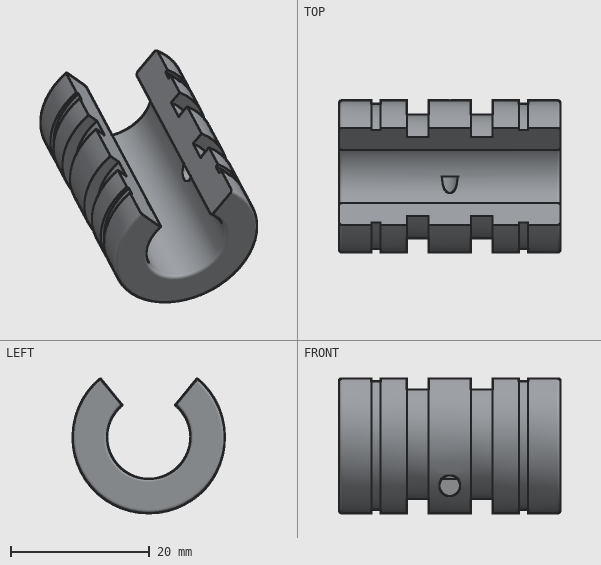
import cadquery as cq
import math

length = 32.0
outer_radius = 11.0
bore_radius = 6.0
edge_round = 0.5
opening_angle = 79.0

center_land_width = 6.1
wide_groove_width = 3.15
wide_groove_radius = 8.95
wide_groove_center = (center_land_width + wide_groove_width) / 2
narrow_groove_width = 1.35
narrow_groove_radius = 10.5
narrow_groove_center = 10.65

cut_clearance = 1.0

hole_diameter = 3.0
low_hole_z = -7.0
wall_hole_z = -1.12


def x_cylinder(radius, width, center_x):
    """Solid cylinder along X, centred at center_x."""
    return cq.Workplane("YZ", origin=(center_x - width / 2, 0, 0)).circle(radius).extrude(width)


def make_sleeve():
    """Round tube with rounded outer and bore edges at both ends."""
    tube = x_cylinder(outer_radius, length, 0).cut(x_cylinder(bore_radius, length, 0))
    return tube.faces("<X or >X").edges().fillet(edge_round)


def make_groove(width, floor_radius, center_x):
    """Ring to remove from the outside of the sleeve."""
    outside = x_cylinder(outer_radius + cut_clearance, width, center_x)
    return outside.cut(x_cylinder(floor_radius, width, center_x))


def make_opening():
    """Wedge with its tip on the axis that opens the sleeve towards +Z."""
    reach = outer_radius + cut_clearance
    half_width = reach * math.tan(math.radians(opening_angle / 2))
    profile = [(0, 0), (half_width, reach), (-half_width, reach)]
    return cq.Workplane("YZ", origin=(-length / 2, 0, 0)).polyline(profile).close().extrude(length)


def make_hole(z, y_direction):
    """Hole running from the middle plane Y = 0 out through one side."""
    drill = cq.Workplane("XZ", origin=(0, 0, z)).circle(hole_diameter / 2)
    return drill.extrude(-y_direction * (outer_radius + cut_clearance))


result = make_sleeve()
for side in (-1, 1):
    result = result.cut(make_groove(wide_groove_width, wide_groove_radius, side * wide_groove_center))
    result = result.cut(make_groove(narrow_groove_width, narrow_groove_radius, side * narrow_groove_center))
result = result.cut(make_opening())
result = result.cut(make_hole(low_hole_z, -1))
result = result.cut(make_hole(wall_hole_z, 1))